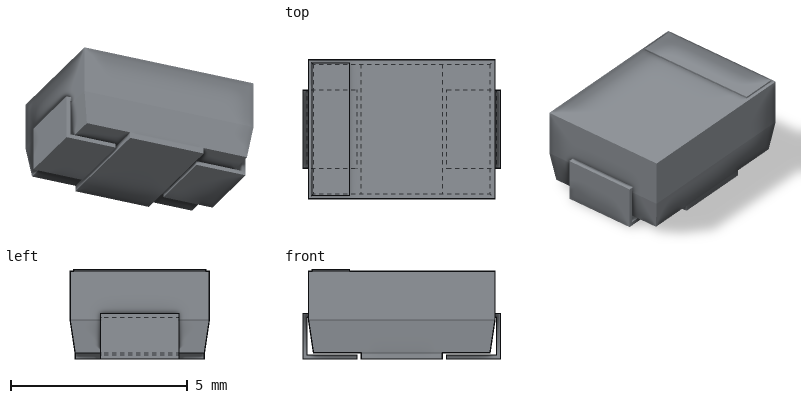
import cadquery as cq

overall_length = 5.59
overall_height = 2.54

housing_width = 3.94
housing_end_gap = 0.155
housing_length = overall_length - 2 * housing_end_gap
parting_height = 1.1
taper_inset = 0.14

standoff_length = 2.29
standoff_height = 0.175
standoff_width = housing_width - 2 * taper_inset

band_thickness = 0.05
band_margin = 0.1
band_length = 1.06
housing_top = overall_height - band_thickness

lead_thickness = 0.12
lead_width = 2.215
lead_height = 1.295
foot_length = 1.53


def make_housing():
    """Straight upper block, tapered lower block and standoff as one solid."""
    upper = (
        cq.Workplane("XY", origin=(0, 0, parting_height))
        .rect(housing_length, housing_width)
        .extrude(housing_top - parting_height)
    )
    lower = (
        cq.Workplane("XY", origin=(0, 0, standoff_height))
        .rect(housing_length - 2 * taper_inset, housing_width - 2 * taper_inset)
        .workplane(offset=parting_height - standoff_height)
        .rect(housing_length, housing_width)
        .loft(ruled=True)
    )
    standoff = (
        cq.Workplane("XY")
        .rect(standoff_length, standoff_width)
        .extrude(standoff_height)
    )
    return upper.union(lower).union(standoff)


def make_polarity_band():
    """Thin rectangular plate lying on the housing top near the -X end."""
    band_center_x = -housing_length / 2 + band_margin + band_length / 2
    return (
        cq.Workplane("XY", origin=(band_center_x, 0, housing_top))
        .rect(band_length, housing_width - 2 * band_margin)
        .extrude(band_thickness)
    )


def make_lead(side):
    """C-shaped strip at the end given by side (-1 or +1), touching the housing end face."""
    outer_x = overall_length / 2
    inner_x = outer_x - lead_thickness
    contact_x = housing_length / 2
    foot_tip_x = outer_x - foot_length
    profile = [
        (foot_tip_x, 0),
        (outer_x, 0),
        (outer_x, lead_height),
        (contact_x, lead_height),
        (contact_x, lead_height - lead_thickness),
        (inner_x, lead_height - lead_thickness),
        (inner_x, lead_thickness),
        (foot_tip_x, lead_thickness),
    ]
    return (
        cq.Workplane("XZ")
        .polyline([(side * x, z) for x, z in profile])
        .close()
        .extrude(lead_width / 2, both=True)
    )


housing = make_housing()
polarity_band = make_polarity_band()
leads = [make_lead(side) for side in (-1, 1)]

result = cq.Compound.makeCompound(
    [housing.val(), polarity_band.val(), *[lead.val() for lead in leads]]
)